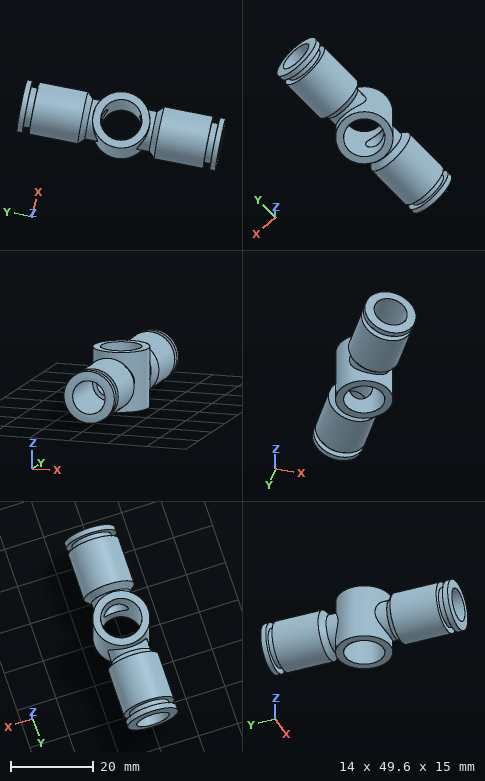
import cadquery as cq

ring_diameter = 14.0
ring_bore = 10.0
ring_height = 15.0

overall_length = 49.6
arm_diameter = 13.0
neck_diameter = 10.0
flow_bore = 6.2
tube_bore = 8.35

face_taper = 0.15
collar_length = 1.55
groove_width = 1.65
body_length = 12.15
shoulder_length = (arm_diameter - neck_diameter) / 2

end_y = overall_length / 2
collar_y = end_y - collar_length
body_outer_y = collar_y - groove_width
body_inner_y = body_outer_y - body_length
neck_y = body_inner_y - shoulder_length


def make_arm():
    """Solid arm on the +Y side, revolved about the Y axis."""
    arm_radius = arm_diameter / 2
    neck_radius = neck_diameter / 2
    profile = [
        (0, 0),
        (neck_radius, 0),
        (neck_radius, neck_y),
        (arm_radius, body_inner_y),
        (arm_radius, body_outer_y),
        (neck_radius, body_outer_y),
        (neck_radius, collar_y),
        (arm_radius, collar_y),
        (arm_radius, end_y - face_taper),
        (neck_radius, end_y),
        (0, end_y),
    ]
    return cq.Workplane("XY").polyline(profile).close().revolve(360, (0, 0, 0), (0, 1, 0))


def make_tube_seat():
    """Cutter for the tube socket, which ends level with the shoulder."""
    socket_depth = end_y - body_inner_y
    return cq.Workplane("XZ", origin=(0, end_y, 0)).circle(tube_bore / 2).extrude(socket_depth)


def z_cylinder(diameter):
    """Cylinder as tall as the ring, centred on the origin."""
    return cq.Workplane("XY").circle(diameter / 2).extrude(ring_height / 2, both=True)


arm = make_arm()
tube_seat = make_tube_seat()
flow_passage = cq.Workplane("XZ").circle(flow_bore / 2).extrude(end_y, both=True)

result = (
    z_cylinder(ring_diameter)
    .union(arm)
    .union(arm.mirror("XZ"))
    .cut(z_cylinder(ring_bore))
    .cut(flow_passage)
    .cut(tube_seat)
    .cut(tube_seat.mirror("XZ"))
)